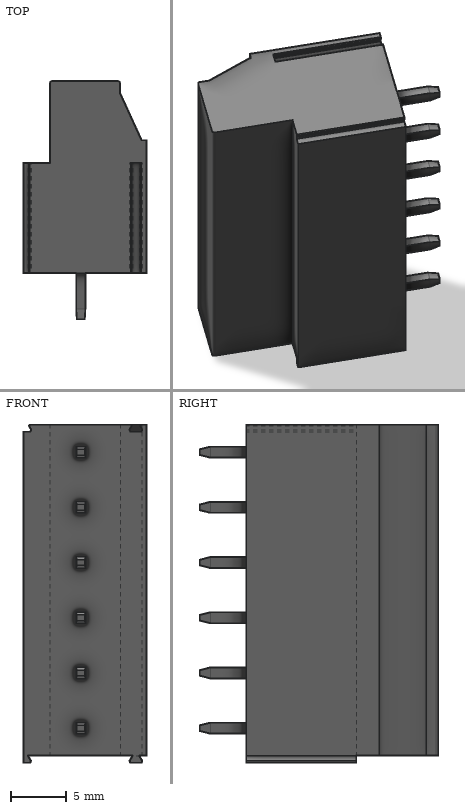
import cadquery as cq

total_length = 30.65
tongue_height = 0.65
pin_count = 6
body_length = total_length - tongue_height
pin_pitch = body_length / pin_count

body_width = 11.2
base_depth = 10.0
tower_depth = 7.42
body_depth = base_depth + tower_depth
tower_left = 2.42
tower_right = 8.77
shoulder_x = 10.73
shoulder_y = 12.05
tower_side_depth = 1.07
slope_end_y = body_depth - tower_side_depth
tower_rounding = 0.2

tip_depth = 0.45
flank_flare = 0.28
foot_bevel = 0.05
mouth_depth = 0.12
mouth_widening = 0.1
edge_rail_root = 0.43
rail_center_x = 10.2
rail_root_half = 0.3

pin_width = 0.85
pin_height = 1.0
pin_length = 4.2
pin_tip_length = 0.95
pin_tip_width = 0.75
pin_tip_height = 0.52
pin_center_x = 5.2
first_pin_z = pin_pitch / 2


def make_housing():
    """Terminal body extruded along the row, with its two wire-side corners rounded."""
    outline = [
        (0, 0),
        (body_width, 0),
        (body_width, shoulder_y),
        (shoulder_x, shoulder_y),
        (tower_right, slope_end_y),
        (tower_right, body_depth),
        (tower_left, body_depth),
        (tower_left, base_depth),
        (0, base_depth),
    ]
    body = cq.Workplane("XY").polyline(outline).close().extrude(body_length)
    return body.edges("|Z and >Y").fillet(tower_rounding)


def extrude_along_base(outline):
    """Extrude an XZ outline from the pin face over the depth of the base."""
    return cq.Workplane("XZ").polyline(outline).close().extrude(-base_depth)


def rail_flank(root, top_z):
    """Points (offset, z) of one straight dovetail flank, from the root down to the foot."""
    tip = root + flank_flare
    return [
        (root, top_z),
        (tip, top_z - tip_depth),
        (tip - foot_bevel, top_z - tongue_height),
    ]


def groove_flank(root, top_z):
    """The rail flank with its sharp upper lip chamfered to widen the mouth of the groove."""
    lip = root + flank_flare * mouth_depth / tip_depth
    mouth = [
        (lip + mouth_widening, top_z),
        (lip, top_z - mouth_depth),
    ]
    return mouth + rail_flank(root, top_z)[1:]


def make_joint(flank, top_z):
    """Edge rail at X = 0 and symmetric dovetail rail, both hanging down from top_z."""
    edge_outline = [(0, top_z), *flank(edge_rail_root, top_z), (0, top_z - tongue_height)]
    half_outline = flank(rail_root_half, top_z)
    right_side = [(rail_center_x + offset, z) for offset, z in half_outline]
    left_side = [(rail_center_x - offset, z) for offset, z in reversed(half_outline)]
    edge_rail = extrude_along_base(edge_outline)
    return edge_rail.add(extrude_along_base(right_side + left_side)).combine()


def make_pin(center_z):
    """Rectangular solder pin with a tapered tip, pointing along -Y."""
    shank_length = pin_length - pin_tip_length
    return (
        cq.Workplane("XZ")
        .center(pin_center_x, center_z)
        .rect(pin_width, pin_height)
        .extrude(shank_length)
        .faces("<Y")
        .workplane(origin=(pin_center_x, -shank_length, center_z))
        .rect(pin_width, pin_height)
        .workplane(offset=pin_tip_length)
        .rect(pin_tip_width, pin_tip_height)
        .loft(combine=True)
    )


result = make_housing()
result = result.cut(make_joint(groove_flank, body_length))
result = result.union(make_joint(rail_flank, 0))
for index in range(pin_count):
    result = result.union(make_pin(first_pin_z + index * pin_pitch))